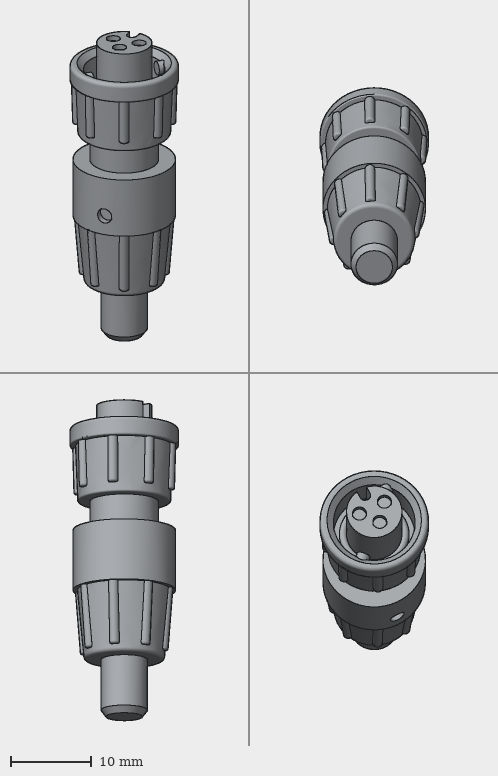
import cadquery as cq
total_height = 39.57

tail_radius = 2.9
tail_tip_radius = 2.25
tail_chamfer_height = 0.85

lower_grip_z = 7.25
lower_grip_bottom_radius = 5.0
lower_grip_top_radius = 5.8
lower_grip_round = 0.47

body_z = 16.1
body_top_z = 23.75
body_radius = 6.37
neck_radius = 4.27

nut_z = 27.4
nut_bottom_radius = 5.78
nut_top_radius = 6.05
nut_bottom_round = 0.25
collar_z = 34.43
collar_top_z = 36.8
collar_diameter = 13.5
collar_radius = collar_diameter / 2
collar_top_round = 0.47
collar_bottom_round = 0.2

bore_radius = 5.05
bore_floor_z = 31.65
entry_chamfer = 0.8

insert_radius = 3.45
seal_section_radius = 0.47
seal_center_height = 0.35
seal_center_radius = (insert_radius + neck_radius) / 2

socket_radius = 0.87
socket_depth = 0.67
socket_centers = [(-1.75, 0.65), (1.75, 0.65), (0, -1.5)]

key_width = 1.35
key_tip_y = 1.82
key_depth = 3.95

pin_radius = 0.87
pin_z = 35.38
pin_inner_radius = 4.35
pin_root_radius = 5.55
pin_angles = (45, 225)

front_hole_radius = 0.95
front_hole_z = 18.65
front_hole_depth = 1.0

rib_count = 8
rib_radius = 0.65
rib_end_round = 0.28
rib_overlap = 0.2
nut_rib_bottom_z = 28.6
nut_rib_bottom_distance = 5.78
nut_rib_top_distance = 5.95
lower_rib_bottom_z = 8.2
lower_rib_bottom_distance = 4.95
lower_rib_top_distance = 5.58


def cylinder(radius, bottom_z, top_z):
    return cq.Workplane("XY").workplane(offset=bottom_z).circle(radius).extrude(top_z - bottom_z)


def cone(bottom_radius, top_radius, bottom_z, top_z):
    profile = [(0, bottom_z), (bottom_radius, bottom_z), (top_radius, top_z), (0, top_z)]
    return cq.Workplane("XZ").polyline(profile).close().revolve(360, (0, 0, 0), (0, 1, 0))


def rotate_about_axis(shape, angles):
    copies = cq.Workplane("XY")
    for angle in angles:
        copies = copies.add(shape.rotate((0, 0, 0), (0, 0, 1), angle))
    return copies.combine()


def grip_ribs(bottom_distance, top_distance, bottom_z, top_z):
    """Ring of round ribs with rounded lower ends, sunk at the top into the part above."""
    slope = cq.Vector(top_distance - bottom_distance, 0, top_z - bottom_z)
    base = cq.Plane(origin=(bottom_distance, 0, bottom_z), normal=slope.toTuple())
    rib = cq.Workplane(base).circle(rib_radius).extrude(slope.Length + rib_overlap)
    rib = rib.faces("<Z").edges().fillet(rib_end_round)
    step = 360 / rib_count
    return rotate_about_axis(rib, [(index + 0.5) * step for index in range(rib_count)])


def tail():
    tip = cone(tail_tip_radius, tail_radius, 0, tail_chamfer_height)
    return tip.union(cylinder(tail_radius, tail_chamfer_height, lower_grip_z))


def lower_grip():
    grip = cone(lower_grip_bottom_radius, lower_grip_top_radius, lower_grip_z, body_z)
    grip = grip.faces("<Z").edges().fillet(lower_grip_round)
    return grip.union(
        grip_ribs(lower_rib_bottom_distance, lower_rib_top_distance, lower_rib_bottom_z, body_z)
    )


def body():
    block = cylinder(body_radius, body_z, body_top_z)
    hole = (
        cq.Workplane("XZ", origin=(0, front_hole_depth - body_radius, front_hole_z))
        .circle(front_hole_radius)
        .extrude(body_radius)
    )
    return block.cut(hole).union(cylinder(neck_radius, body_top_z, nut_z))


def coupling_nut():
    grip = cone(nut_bottom_radius, nut_top_radius, nut_z, collar_z)
    grip = grip.faces("<Z").edges().fillet(nut_bottom_round)
    collar = cylinder(collar_radius, collar_z, collar_top_z)
    collar = collar.faces(">Z").edges().fillet(collar_top_round)
    collar = collar.faces("<Z").edges().fillet(collar_bottom_round)
    ribs = grip_ribs(nut_rib_bottom_distance, nut_rib_top_distance, nut_rib_bottom_z, collar_z)
    bore = cylinder(bore_radius, bore_floor_z, collar_top_z)
    entry = cone(bore_radius, bore_radius + entry_chamfer, collar_top_z - entry_chamfer, collar_top_z)
    return grip.union(collar).union(ribs).cut(bore).cut(entry)


def bayonet_pins():
    pin = (
        cq.Workplane("YZ", origin=(pin_inner_radius, 0, pin_z))
        .circle(pin_radius)
        .extrude(pin_root_radius - pin_inner_radius)
    )
    return rotate_about_axis(pin, pin_angles)


def seal_ring():
    ring = cq.Solid.makeTorus(seal_center_radius, seal_section_radius)
    return cq.Workplane(ring.translate((0, 0, bore_floor_z + seal_center_height)))


def insert():
    post = cylinder(insert_radius, bore_floor_z, total_height)
    sockets = (
        cq.Workplane("XY", origin=(0, 0, total_height))
        .pushPoints(socket_centers)
        .circle(socket_radius)
        .extrude(-socket_depth)
    )
    key_radius = key_width / 2
    key_center_y = key_tip_y + key_radius
    key_floor = cq.Workplane("XY", origin=(0, 0, total_height - key_depth))
    key_end = key_floor.center(0, key_center_y).circle(key_radius).extrude(key_depth)
    key_channel = (
        key_floor.center(0, key_center_y + insert_radius / 2)
        .rect(key_width, insert_radius)
        .extrude(key_depth)
    )
    return post.cut(sockets).cut(key_end).cut(key_channel)


result = (
    tail()
    .union(lower_grip())
    .union(body())
    .union(coupling_nut())
    .union(bayonet_pins())
    .union(insert())
    .union(seal_ring())
)